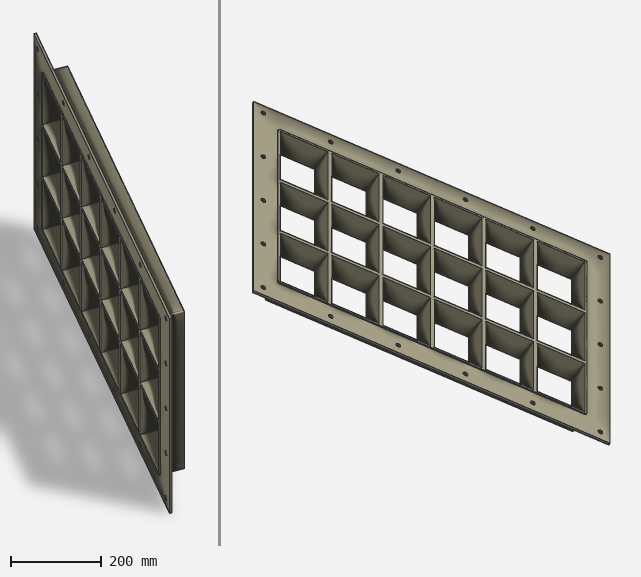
import cadquery as cq

plate_width = 905.0
plate_height = 634.0
plate_thickness = 6.0

frame_depth = 60.0
frame_width = 784.0
frame_height = 514.0
frame_wall = 5.6
frame_corner_radius = 5.0
frame_front_projection = 3.0

columns = 6
rows = 3
bar_thickness = 10.0
cell_width = (frame_width - 2 * frame_wall - (columns - 1) * bar_thickness) / columns
cell_height = (frame_height - 2 * frame_wall - (rows - 1) * bar_thickness) / rows

hole_diameter = 11.0
hole_pattern_width = 855.0
hole_pattern_height = 585.0
holes_along_width = 6
holes_along_height = 5
hole_pitch_x = hole_pattern_width / (holes_along_width - 1)
hole_pitch_z = hole_pattern_height / (holes_along_height - 1)

frame_front = 0.0
plate_front = frame_front + frame_front_projection


def block(width, depth, height, front):
    """Box centred on X and Z whose front face is at Y = front."""
    return cq.Workplane("XY").box(width, depth, height).translate((0, front + depth / 2, 0))


def prism_cutter(sketch):
    """Extrude an XZ sketch toward +Y through the whole part."""
    return sketch.extrude(-frame_depth)


def mounting_holes():
    """Evenly spaced holes along all four plate edges, sharing the corner holes."""
    last_column = holes_along_width - 1
    last_row = holes_along_height - 1
    centres = [
        ((i - last_column / 2) * hole_pitch_x, (j - last_row / 2) * hole_pitch_z)
        for i in range(holes_along_width)
        for j in range(holes_along_height)
        if i in (0, last_column) or j in (0, last_row)
    ]
    return prism_cutter(cq.Workplane("XZ").pushPoints(centres).circle(hole_diameter / 2))


def cell_openings():
    """Rectangular openings that leave the frame walls and the crossing bars."""
    sketch = cq.Workplane("XZ").rarray(
        cell_width + bar_thickness, cell_height + bar_thickness, columns, rows
    )
    return prism_cutter(sketch.rect(cell_width, cell_height))


plate = block(plate_width, plate_thickness, plate_height, plate_front).cut(mounting_holes())
frame = block(frame_width, frame_depth, frame_height, frame_front)
frame = frame.edges("|Y").fillet(frame_corner_radius)
result = plate.union(frame).cut(cell_openings())